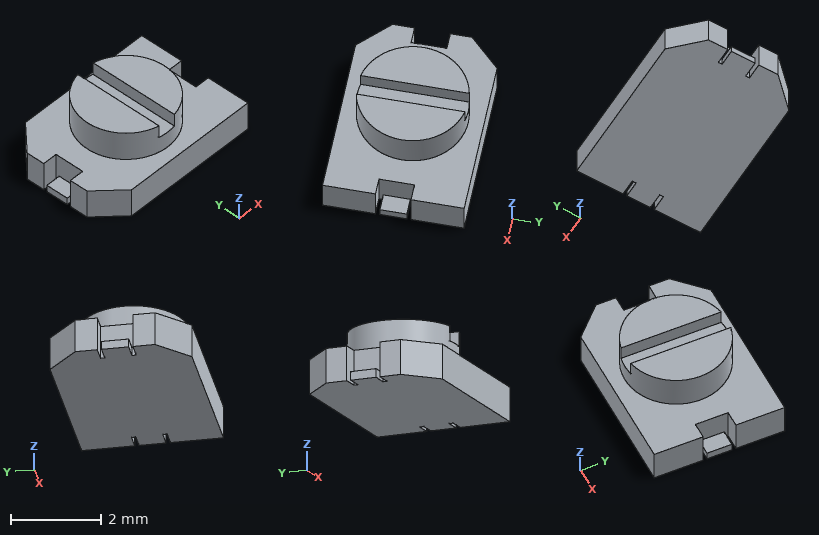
import cadquery as cq

length = 4.5
width = 3.2
base_height = 0.8
corner_chamfer = 0.7

total_height = 1.6
screw_diameter = 2.5
slot_width = 0.5
slot_depth = 0.35

notch_width = 0.8
notch_depth = 0.4
tab_width = 0.61
tab_height = 0.2


def end_block(side, block_width, height):
    """Block of notch depth against the -X (side = -1) or +X (side = 1) end."""
    center_x = side * (length - notch_depth) / 2
    return (
        cq.Workplane("XY")
        .center(center_x, 0)
        .rect(notch_depth, block_width)
        .extrude(height)
    )


def base_plate():
    """Plate with chamfered -X corners, a notch and a terminal tab at each end."""
    plate = (
        cq.Workplane("XY")
        .rect(length, width)
        .extrude(base_height)
        .edges("|Z and <X")
        .chamfer(corner_chamfer)
    )
    for side in (-1, 1):
        plate = plate.cut(end_block(side, notch_width, base_height))
        plate = plate.union(end_block(side, tab_width, tab_height))
    return plate


def slotted_screw():
    """Cylinder above the plate with a straight slot across its top."""
    screw = (
        cq.Workplane("XY")
        .workplane(offset=base_height)
        .circle(screw_diameter / 2)
        .extrude(total_height - base_height)
    )
    slot = (
        cq.Workplane("XY")
        .workplane(offset=total_height - slot_depth)
        .rect(slot_width, screw_diameter)
        .extrude(slot_depth)
    )
    return screw.cut(slot)


result = base_plate().union(slotted_screw())